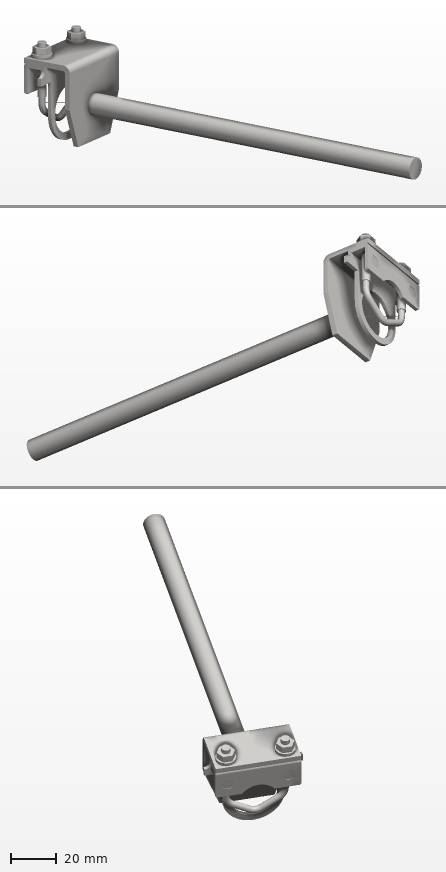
import cadquery as cq
import math

total_length = 194.6
rod_diameter = 10.0

bracket_width = 38.7
bracket_length = 24.1
bracket_thickness = 2.5
bracket_top = 22.0
bracket_bottom = -16.7
bracket_outer_bend_radius = 3.1
bracket_inner_bend_radius = 1.0
taper_start_height = 2.0
taper_bottom_width = 25.0

clip_length = 10.9
clip_thickness = 1.8
clip_edge_radius = 1.2
clip_top = bracket_top - bracket_thickness

short_leg_bottom = 5.5
short_leg_corner = 0.5
notch_radius = 9.1
dimple_diameter = 5.5
dimple_depth = 0.2
dimple_spacing = 28.0
dimple_height = 12.3

ring_center_height = -4.3
ring_outer_radius = 14.2
ring_inner_radius = 11.0
tab_span = 44.5
tab_bottom = 11.3
tab_top = 14.8
tab_corner_radius = 2.7

bolt_x = 5.5
bolt_spacing = 26.9
bolt_diameter = 4.0
bolt_top = 28.8
bolt_shoulder_height = 3.7
bend_rod_diameter = 3.1
bend_start_height = 0.8
bend_radius = 5.8
bend_slope = math.radians(30)
washer_diameter = 9.1
washer_thickness = 1.5
nut_across_flats = 7.2
nut_height = 3.1

wire_diameter = 0.2
wire_end_height = 0.4


def make_rod():
    start = bracket_length - bracket_thickness
    return cq.Workplane("YZ", origin=(start, 0, 0)).circle(rod_diameter / 2).extrude(total_length - start)


def make_bracket():
    inner_x = bracket_length - bracket_thickness
    bent_strip = (
        cq.Workplane("XZ")
        .moveTo(0, bracket_top)
        .lineTo(bracket_length, bracket_top)
        .lineTo(bracket_length, bracket_bottom)
        .lineTo(inner_x, bracket_bottom)
        .lineTo(inner_x, clip_top)
        .lineTo(0, clip_top)
        .close()
        .extrude(bracket_width / 2, both=True)
    )
    bent_strip = bent_strip.edges("|Y and >X and >Z").fillet(bracket_outer_bend_radius)
    inner_corner = cq.selectors.NearestToPointSelector((inner_x, 0, clip_top))
    bent_strip = bent_strip.edges(inner_corner).fillet(bracket_inner_bend_radius)
    tapered_outline = (
        cq.Workplane("YZ")
        .moveTo(-bracket_width / 2, bracket_top)
        .lineTo(bracket_width / 2, bracket_top)
        .lineTo(bracket_width / 2, taper_start_height)
        .lineTo(taper_bottom_width / 2, bracket_bottom)
        .lineTo(-taper_bottom_width / 2, bracket_bottom)
        .lineTo(-bracket_width / 2, taper_start_height)
        .close()
        .extrude(bracket_length)
    )
    return bent_strip.intersect(tapered_outline)


def make_short_leg():
    leg_height = clip_top - short_leg_bottom
    leg = (
        cq.Workplane("XY", origin=(0, 0, short_leg_bottom))
        .box(clip_thickness, bracket_width, leg_height, centered=(False, True, False))
        .edges("|X and <Z")
        .chamfer(short_leg_corner)
    )
    notch = cq.Workplane("YZ").circle(notch_radius).extrude(clip_thickness)
    dimples = (
        cq.Workplane("YZ")
        .pushPoints([(side * dimple_spacing / 2, dimple_height) for side in (-1, 1)])
        .circle(dimple_diameter / 2)
        .extrude(dimple_depth)
    )
    return leg.cut(notch).cut(dimples)


def make_long_leg():
    half_width = bracket_width / 2
    half_span = tab_span / 2
    arc_middle = tab_corner_radius * (1 - math.sqrt(0.5))
    leg = (
        cq.Workplane("YZ", origin=(clip_length - clip_thickness, 0, 0))
        .moveTo(0, clip_top)
        .lineTo(half_width, clip_top)
        .lineTo(half_width, tab_top + tab_corner_radius)
        .threePointArc(
            (half_width + arc_middle, tab_top + arc_middle),
            (half_width + tab_corner_radius, tab_top),
        )
        .lineTo(half_span, tab_top)
        .lineTo(half_span, tab_bottom)
        .lineTo(ring_outer_radius, tab_bottom)
        .lineTo(ring_outer_radius, ring_center_height)
        .radiusArc((0, ring_center_height - ring_outer_radius), ring_outer_radius)
        .mirrorY()
        .extrude(clip_thickness)
    )
    hole = (
        cq.Workplane("YZ")
        .center(0, ring_center_height)
        .circle(ring_inner_radius)
        .extrude(clip_length)
    )
    return leg.cut(hole)


def make_clip():
    web = cq.Workplane("XY", origin=(0, 0, clip_top - clip_thickness)).box(
        clip_length, bracket_width, clip_thickness, centered=(False, True, False)
    )
    clip = web.union(make_short_leg()).union(make_long_leg())
    bend_edge = cq.selectors.NearestToPointSelector((0, 0, clip_top))
    return clip.edges(bend_edge).fillet(clip_edge_radius)


def make_bolt_leg(side):
    """Straight leg of the U-bolt with its washer and nut; side is -1 or 1."""

    def level(height):
        return cq.Workplane("XY", origin=(bolt_x, side * bolt_spacing / 2, height))

    washer_top = bracket_top + washer_thickness
    shank = level(bolt_shoulder_height).circle(bolt_diameter / 2).extrude(bolt_top - bolt_shoulder_height)
    washer = level(bracket_top).circle(washer_diameter / 2).extrude(washer_thickness)
    nut_across_corners = nut_across_flats / math.cos(math.pi / 6)
    nut = (
        level(washer_top)
        .transformed(rotate=(0, 0, 90))
        .polygon(6, nut_across_corners)
        .extrude(nut_height)
    )
    return shank.union(washer).union(nut)


def make_bolt_bend():
    """Thinner bent rod that joins the two straight legs below their shoulders."""
    half = bolt_spacing / 2
    sin_slope = math.sin(bend_slope)
    cos_slope = math.cos(bend_slope)
    upper_y = half - bend_radius * (1 - sin_slope)
    upper_z = bend_start_height - bend_radius * cos_slope
    lower_y = bend_radius * sin_slope
    lower_z = upper_z - (upper_y - lower_y) * math.tan(bend_slope)
    bottom_z = lower_z - bend_radius * (1 - cos_slope)
    path = (
        cq.Workplane("YZ", origin=(bolt_x, 0, 0))
        .moveTo(-half, bolt_shoulder_height)
        .lineTo(-half, bend_start_height)
        .radiusArc((-upper_y, upper_z), -bend_radius)
        .lineTo(-lower_y, lower_z)
        .threePointArc((0, bottom_z), (lower_y, lower_z))
        .lineTo(upper_y, upper_z)
        .radiusArc((half, bend_start_height), -bend_radius)
        .lineTo(half, bolt_shoulder_height)
    )
    start = cq.Workplane("XY", origin=(bolt_x, -half, bolt_shoulder_height))
    return start.circle(bend_rod_diameter / 2).sweep(path)


def make_wire():
    start = cq.Vector(bolt_x, -bolt_spacing / 2, bend_start_height)
    end = cq.Vector(bracket_length - bracket_thickness / 2, 0, wire_end_height)
    run = end - start
    return cq.Workplane(cq.Solid.makeCylinder(wire_diameter / 2, run.Length, start, run))


result = make_bracket().union(make_rod()).union(make_clip())
for bolt_side in (-1, 1):
    result = result.union(make_bolt_leg(bolt_side))
result = result.union(make_bolt_bend()).union(make_wire())